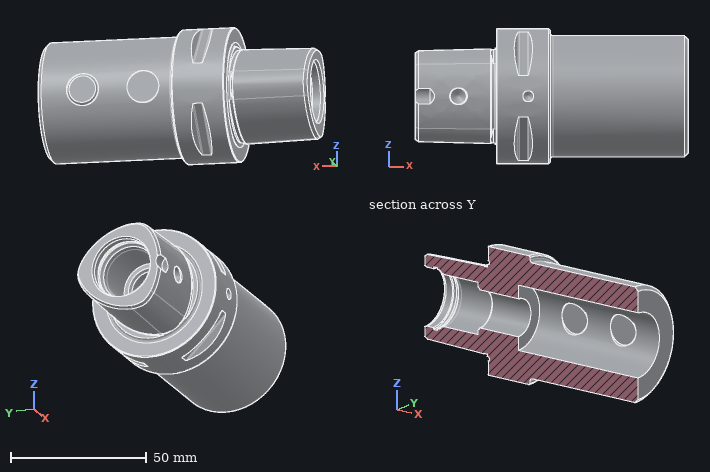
import cadquery as cq
import math

TOTAL_LENGTH = 101.0

POLYGON_DIAMETER = 35.0
ECCENTRICITY = 1.3
TAPER_PER_SIDE = 1 / 40
TAPER_END = 27.9
TIP_CHAMFER_LENGTH = 1.3
TIP_CHAMFER_DEPTH = 0.8
NECK_STEP = 0.2
NECK_STEP_LENGTH = 0.3
SIDE_ANGLE = 60
POINTS_PER_SIDE = 9

UNDERCUT_RADIUS = 17.8
UNDERCUT_CORNER = 28.9
RECESS_START = 29.6
RECESS_RADIUS = 19.5
RECESS_MID_RADIUS = 18.5
RECESS_DEPTH = 0.5

FLANGE_START = 30.0
FLANGE_WIDTH = 20.0
FLANGE_END = FLANGE_START + FLANGE_WIDTH
FLANGE_RADIUS = 50.0 / 2
FLANGE_FRONT_CHAMFER = 0.3
FLANGE_BACK_CHAMFER = 0.6
BODY_RADIUS = 44.9 / 2
BODY_FILLET = 0.9
BODY_CHAMFER = 1.5

SLOT_CENTRE = FLANGE_START + FLANGE_WIDTH / 2
SLOT_FLOOR = 22.2
SLOT_FLOOR_WIDTH = 3.5
SLOT_WALL_ANGLE = 30
SLOT_FILLET = 0.5
SLOT_COUNT = 4

DRILL_HALF_ANGLE = 59
DRILL_CLEARANCE = 1.0
MARK_HOLE_DIAMETER = 4.0
MARK_HOLE_X = 41.8
MARK_HOLE_DEPTH = 4.0
SHANK_HOLE_DIAMETER = 6.0
SHANK_HOLE_CHAMFER = 0.3
SHANK_HOLE_X = 16.0
SHANK_HOLE_DEPTH = 3.5
NOTCH_DIAMETER = 7.1
NOTCH_HALF_ANGLE = 45
NOTCH_Y = -17.6
NOTCH_LENGTH = 5.6

MOUTH_RADIUS = 11.8
LIP_RADIUS = 11.3
LIP_START = 1.2
GROOVE_RADIUS = 24.0 / 2
GROOVE_START = 4.2
GROOVE_END = 6.1
LAND_RADIUS = 11.4
LAND_END = 6.7
FILLET_MID_X = 7.3
FILLET_MID_RADIUS = 11.1
CONE_START = 7.7
CONE_RADIUS = 21.0 / 2
CLAMP_BORE_START = 9.5
CLAMP_BORE_RADIUS = 10.0
CLAMP_BORE_END = 25.2
THROUGH_RADIUS = 14.5 / 2
THROUGH_CHAMFER = 1.0
TOOL_BORE_RADIUS = 25.0 / 2
TOOL_BORE_START = 44.4

SCREW_RADIUS = 12.0 / 2
SCREW_TOP_Y = 22.4
SCREW_CHAMFER = 1.0
PLUG_X = 61.0
SCREW_X = 83.9


def polygon_wire(x, inset):
    """The shank outline at the given x, moved inward by inset from the large end of the taper."""
    half_width = POLYGON_DIAMETER / 2 - inset

    def point(degrees):
        a = math.radians(degrees)
        y = half_width * math.cos(a) + 2 * ECCENTRICITY * math.cos(2 * a) - ECCENTRICITY * math.cos(4 * a)
        z = half_width * math.sin(a) - 2 * ECCENTRICITY * math.sin(2 * a) - ECCENTRICITY * math.sin(4 * a)
        return cq.Vector(x, y, z)

    def tangent(degrees):
        a = math.radians(degrees)
        return cq.Vector(0, -math.sin(a), math.cos(a))

    sides = []
    for start in range(-SIDE_ANGLE // 2, 360 - SIDE_ANGLE // 2, SIDE_ANGLE):
        end = start + SIDE_ANGLE
        points = [point(start + SIDE_ANGLE * i / (POINTS_PER_SIDE - 1)) for i in range(POINTS_PER_SIDE)]
        sides.append(cq.Edge.makeSpline(points, tangents=[tangent(start), tangent(end)]))
    return cq.Wire.assembleEdges(sides)


def turn(outline):
    """Turn a closed outline in the XY plane about the X axis."""
    return outline.revolve(360, (0, 0, 0), (1, 0, 0))


def drill(radius, depth, half_angle):
    """A pointed cylinder along +X that starts a clearance before the origin."""
    tip = depth + radius / math.tan(math.radians(half_angle))
    outline = [(-DRILL_CLEARANCE, 0), (-DRILL_CLEARANCE, radius), (depth, radius), (tip, 0)]
    return turn(cq.Workplane("XY").polyline(outline).close())


def countersink(radius, chamfer):
    """A 45 degree cone along +X that widens a hole's start at the origin by the chamfer."""
    cone_radius = radius + chamfer
    outline = [(-DRILL_CLEARANCE, 0), (-DRILL_CLEARANCE, cone_radius + DRILL_CLEARANCE), (cone_radius, 0)]
    return turn(cq.Workplane("XY").polyline(outline).close())


def make_shank():
    tip_inset = TAPER_PER_SIDE * TAPER_END
    shoulder_inset = TAPER_PER_SIDE * (TAPER_END - TIP_CHAMFER_LENGTH)
    neck_start = TAPER_END + NECK_STEP_LENGTH
    sections = [
        (0, tip_inset + TIP_CHAMFER_DEPTH),
        (TIP_CHAMFER_LENGTH, shoulder_inset),
        (TAPER_END, 0),
        (neck_start, NECK_STEP),
        (FLANGE_START + RECESS_DEPTH, NECK_STEP),
    ]
    wires = [polygon_wire(x, inset) for x, inset in sections]
    shank = cq.Workplane(cq.Solid.makeLoft(wires, True))
    return shank.cut(make_undercut())


def make_undercut():
    """Ring that trims the lobes behind the taper down to the undercut radius."""
    slope_start = UNDERCUT_CORNER - (FLANGE_RADIUS - UNDERCUT_RADIUS)
    outline = [
        (slope_start, FLANGE_RADIUS),
        (UNDERCUT_CORNER, UNDERCUT_RADIUS),
        (FLANGE_END, UNDERCUT_RADIUS),
        (FLANGE_END, FLANGE_RADIUS),
    ]
    return turn(cq.Workplane("XY").polyline(outline).close())


def make_flange_and_body():
    outline = (
        cq.Workplane("XY")
        .moveTo(RECESS_START, 0)
        .lineTo(RECESS_START, UNDERCUT_RADIUS)
        .threePointArc((FLANGE_START + RECESS_DEPTH, RECESS_MID_RADIUS), (FLANGE_START, RECESS_RADIUS))
        .lineTo(FLANGE_START, FLANGE_RADIUS - FLANGE_FRONT_CHAMFER)
        .lineTo(FLANGE_START + FLANGE_FRONT_CHAMFER, FLANGE_RADIUS)
        .lineTo(FLANGE_END - FLANGE_BACK_CHAMFER, FLANGE_RADIUS)
        .lineTo(FLANGE_END, FLANGE_RADIUS - FLANGE_BACK_CHAMFER)
        .lineTo(FLANGE_END, BODY_RADIUS + BODY_FILLET)
        .radiusArc((FLANGE_END + BODY_FILLET, BODY_RADIUS), -BODY_FILLET)
        .lineTo(TOTAL_LENGTH - BODY_CHAMFER, BODY_RADIUS)
        .lineTo(TOTAL_LENGTH, BODY_RADIUS - BODY_CHAMFER)
        .lineTo(TOTAL_LENGTH, 0)
        .close()
    )
    return turn(outline)


def make_bores():
    outline = (
        cq.Workplane("XY")
        .lineTo(0, MOUTH_RADIUS)
        .lineTo(LIP_START, LIP_RADIUS)
        .lineTo(GROOVE_START, LIP_RADIUS)
        .lineTo(GROOVE_START, GROOVE_RADIUS)
        .lineTo(GROOVE_END, GROOVE_RADIUS)
        .lineTo(GROOVE_END, LAND_RADIUS)
        .lineTo(LAND_END, LAND_RADIUS)
        .threePointArc((FILLET_MID_X, FILLET_MID_RADIUS), (CONE_START, CONE_RADIUS))
        .lineTo(CLAMP_BORE_START, CLAMP_BORE_RADIUS)
        .lineTo(CLAMP_BORE_END, CLAMP_BORE_RADIUS)
        .lineTo(CLAMP_BORE_END, THROUGH_RADIUS + THROUGH_CHAMFER)
        .lineTo(CLAMP_BORE_END + THROUGH_CHAMFER, THROUGH_RADIUS)
        .lineTo(TOOL_BORE_START, THROUGH_RADIUS)
        .lineTo(TOOL_BORE_START, TOOL_BORE_RADIUS)
        .lineTo(TOTAL_LENGTH, TOOL_BORE_RADIUS)
        .lineTo(TOTAL_LENGTH, 0)
        .close()
    )
    return turn(outline)


def make_gripper_slots():
    depth = FLANGE_RADIUS - SLOT_FLOOR
    floor = SLOT_FLOOR_WIDTH / 2
    mouth = floor + depth * math.tan(math.radians(SLOT_WALL_ANGLE))
    slot = (
        cq.Workplane("XY")
        .polyline([
            (SLOT_CENTRE - mouth, FLANGE_RADIUS),
            (SLOT_CENTRE - floor, SLOT_FLOOR),
            (SLOT_CENTRE + floor, SLOT_FLOOR),
            (SLOT_CENTRE + mouth, FLANGE_RADIUS),
        ])
        .close()
        .extrude(FLANGE_RADIUS, both=True)
        .faces("<Y")
        .edges("|Z")
        .fillet(SLOT_FILLET)
    )
    step = 360 / SLOT_COUNT
    slots = slot.rotate((0, 0, 0), (1, 0, 0), step / 2)
    for i in range(1, SLOT_COUNT):
        slots = slots.union(slot.rotate((0, 0, 0), (1, 0, 0), step * (i + 0.5)))
    return slots


def turn_inward(cutter, x, surface_y):
    """Point a cutter built along +X toward +Y, with its origin at surface_y."""
    return cutter.rotate((0, 0, 0), (0, 0, 1), 90).translate((x, surface_y, 0))


def make_mark_hole():
    hole = drill(MARK_HOLE_DIAMETER / 2, MARK_HOLE_DEPTH, DRILL_HALF_ANGLE)
    return turn_inward(hole, MARK_HOLE_X, -FLANGE_RADIUS)


def make_shank_hole():
    surface_y = ECCENTRICITY - POLYGON_DIAMETER / 2 + TAPER_PER_SIDE * (TAPER_END - SHANK_HOLE_X)
    radius = SHANK_HOLE_DIAMETER / 2
    hole = drill(radius, SHANK_HOLE_DEPTH, DRILL_HALF_ANGLE).union(countersink(radius, SHANK_HOLE_CHAMFER))
    return turn_inward(hole, SHANK_HOLE_X, surface_y)


def make_notch():
    """A pointed groove along X, cut into the flat side of the shank from its tip."""
    return drill(NOTCH_DIAMETER / 2, NOTCH_LENGTH, NOTCH_HALF_ANGLE).translate((0, NOTCH_Y, 0))


def make_screw_holes():
    holes = cq.Workplane("XZ").pushPoints([(PLUG_X, 0), (SCREW_X, 0)]).circle(SCREW_RADIUS)
    return holes.extrude(-FLANGE_RADIUS)


def make_holder():
    holder = make_flange_and_body().union(make_shank())
    holder = holder.cut(make_bores())
    holder = holder.cut(make_gripper_slots())
    holder = holder.cut(make_mark_hole())
    holder = holder.cut(make_shank_hole())
    holder = holder.cut(make_notch())
    return holder.cut(make_screw_holes())


def make_cylinder(x, top_y):
    """A cylinder that fills a screw hole from the tool bore up to top_y."""
    return (
        cq.Workplane("XZ", origin=(x, top_y, 0))
        .circle(SCREW_RADIUS)
        .extrude(top_y - TOOL_BORE_RADIUS)
    )


def make_plug():
    return make_cylinder(PLUG_X, BODY_RADIUS)


def make_screw():
    return make_cylinder(SCREW_X, SCREW_TOP_Y).faces(">Y").chamfer(SCREW_CHAMFER)


holder = make_holder()
plug = make_plug()
screw = make_screw()

result = cq.Compound.makeCompound([holder.val(), plug.val(), screw.val()])